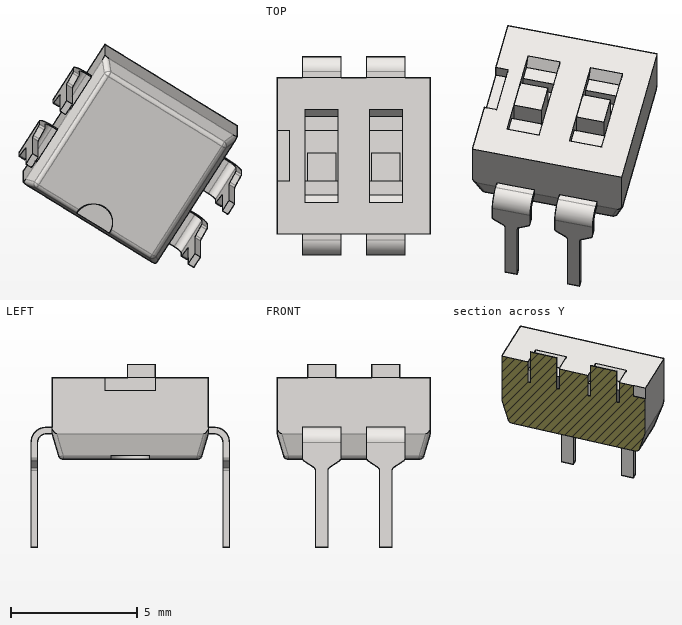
import cadquery as cq
import math


body_x = 6.08
body_y = 6.2
body_height = 3.24
skirt_top = 2.23
skirt_inset = 0.3
skirt_radius = 0.2

notch_x = 0.5
notch_y = 2.0
notch_depth = 0.52

recess_radius = 0.76
recess_center_x = -body_x / 2 + skirt_inset
recess_depth = 0.15

pitch = 2.54
positions = (-pitch / 2, pitch / 2)
slot_x = 1.31
slot_y = 3.675
ledge_run = 0.28
ledge_depth = 0.4
well_y = notch_y
well_depth = 1.0
knob_side = 1.12
knob_rise = 0.52

lead_span = 7.87
lead_thickness = 0.27
lead_top = 1.97
lead_bottom = 6.73
bend_radius = 0.6
lead_width = 1.535
leg_width = 0.5
shoulder_top = 3.265
shoulder_bottom = 3.605
shoulder_radius = 0.16


def block(size_x, size_y, depth, center_x=0.0, center_y=0.0, top=0.0):
    """Box hanging down by depth from the height top."""
    centered_axes = (True, True, False)
    box = cq.Workplane("XY").box(size_x, size_y, depth, centered=centered_axes)
    return box.translate((center_x, center_y, top - depth))


def make_body():
    """Box trimmed by an upside-down pyramid whose side and bottom edges are rounded."""
    slope = skirt_inset / (body_height - skirt_top)
    overhang = slope * skirt_top
    pyramid = (
        cq.Workplane("XY")
        .rect(body_x + 2 * overhang, body_y + 2 * overhang)
        .extrude(-body_height, taper=math.degrees(math.atan(slope)))
    )
    pyramid = pyramid.edges("not >Z").fillet(skirt_radius)
    return block(body_x, body_y, body_height).intersect(pyramid)


def make_recess():
    floor = cq.Workplane("XY", origin=(recess_center_x, 0, -body_height))
    return floor.circle(recess_radius).extrude(recess_depth)


def make_slot(x):
    """Slot with sloped ends, stepping down to a deeper well for the knob."""
    top_end = slot_y / 2
    floor_end = top_end - ledge_run
    trough = (
        cq.Workplane("YZ", origin=(x - slot_x / 2, 0, 0))
        .polyline([(-top_end, 0), (top_end, 0), (floor_end, -ledge_depth), (-floor_end, -ledge_depth)])
        .close()
        .extrude(slot_x)
    )
    return trough.union(block(slot_x, well_y, well_depth, x))


def make_knob(x):
    """Square knob standing on the well floor against the well's -Y wall."""
    knob_y = (knob_side - well_y) / 2
    return block(knob_side, knob_side, knob_rise + well_depth, x, knob_y, knob_rise)


def make_lead(x):
    """Lead on the -Y side: a bent strip trimmed to a wide plate and a narrow leg."""
    outer = -lead_span / 2
    inner = outer + lead_thickness
    wall = -body_y / 2
    bend_y = outer + bend_radius
    bend_z = -lead_top - bend_radius
    inner_radius = bend_radius - lead_thickness
    strip = (
        cq.Workplane("YZ", origin=(x - lead_width / 2, 0, 0))
        .moveTo(wall, -lead_top)
        .lineTo(bend_y, -lead_top)
        .radiusArc((outer, bend_z), -bend_radius)
        .lineTo(outer, -lead_bottom)
        .lineTo(inner, -lead_bottom)
        .lineTo(inner, bend_z)
        .radiusArc((bend_y, -lead_top - lead_thickness), inner_radius)
        .lineTo(wall, -lead_top - lead_thickness)
        .close()
        .extrude(lead_width)
    )
    right_side = [
        (lead_width / 2, -lead_top),
        (lead_width / 2, -shoulder_top),
        (leg_width / 2, -shoulder_bottom),
        (leg_width / 2, -lead_bottom),
    ]
    left_side = [(-px, pz) for px, pz in reversed(right_side)]
    front = (
        cq.Workplane("XZ", origin=(x, wall, 0))
        .polyline(right_side + left_side)
        .close()
        .extrude(lead_span / 2 + wall)
    )
    shoulder_middle = -(shoulder_top + shoulder_bottom) / 2
    reach = shoulder_bottom - shoulder_top
    shoulder_zone = cq.selectors.BoxSelector(
        (x - lead_width, -lead_span, shoulder_middle - reach),
        (x + lead_width, 0, shoulder_middle + reach),
    )
    front = front.edges("|Y").edges(shoulder_zone).fillet(shoulder_radius)
    return strip.intersect(front)


notch = block(notch_x, notch_y, notch_depth, (notch_x - body_x) / 2)
result = make_body().cut(notch).cut(make_recess())

for position in positions:
    lead = make_lead(position)
    result = result.cut(make_slot(position)).union(make_knob(position))
    result = result.union(lead).union(lead.mirror("XZ"))